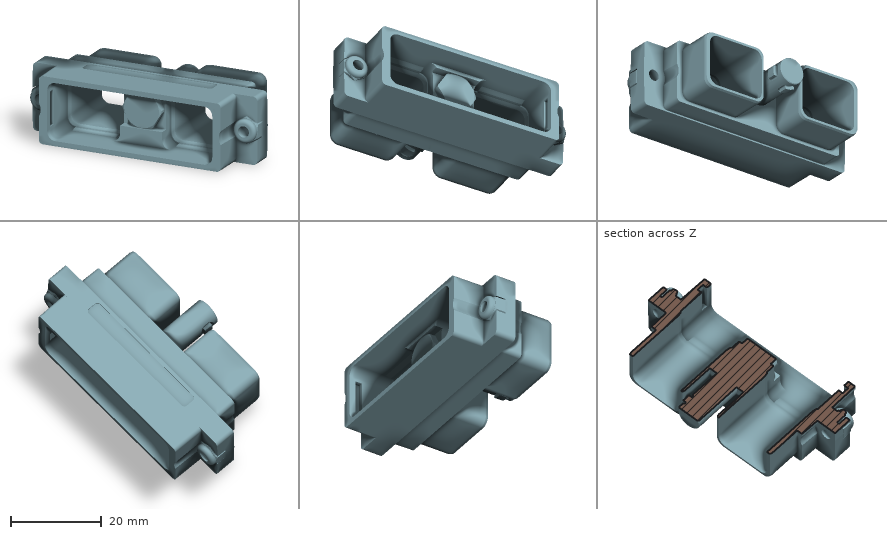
import cadquery as cq
import math

FLANGE_FRONT = 7.7
FLANGE_BACK = 12.7
BODY_BACK = 17.7
BLOCK_BACK = 26.6
TUBE_BACK = 30.35

HEIGHT = 15.95
REAR_HEIGHT = 15.2
BODY_HALF_LENGTH = 22.4
BODY_DRAFT = 0.1
FLANGE_HALF_LENGTH = 27.7
FLANGE_DRAFT = 0.15
CORNER_RADIUS = 1.0

BLOCK_CENTER = 12.95
BLOCK_LENGTH = 16.0
BLOCK_HEIGHT = 13.65
BLOCK_RADIUS = 2.0
BLOCK_CHAMFER_DEPTH = 0.65
BLOCK_CHAMFER_INSET = 0.15
POCKET_CENTER = 12.7
POCKET_LENGTH = 15.1
POCKET_HEIGHT = 13.55
POCKET_RADIUS = 2.0
RIB_START = 8.1
RIB_TOP = 9.45
RIB_HEIGHT = 0.35
RIB_END_GAP = 0.15
THROAT_START = 10.2
THROAT_END = 11.3
STEP_INSETS = (0.2, 0.35)
THROAT_INSETS = (0.45, 0.65)
CAVITY_DEPTH = 5.7

LATCH_FRONT = 1.5
LATCH_WIDTH = 1.7
LATCH_HEIGHT = 8.2
LATCH_DEPTH = 1.15

GUIDE_Z = 1.5
BOLT_FLATS = 8.55
BOLT_TIP_RADIUS = 4.8
BOLT_FACE = 5.95
BOLT_CHAMFER_DEPTH = 0.3
BOLT_SEAT = 7.75
BOLT_SEAT_HEIGHT = 8.8
TUBE_RADIUS = 3.15
TUBE_CHAMFER = 0.15

TAB_ANGLES = (0, 255)
TAB_CENTER_Y = 27.25
TAB_LENGTH = 2.05
TAB_WIDTH = 2.45
TAB_REACH = 3.65
WINDOW_RADIUS = 1.9
WINDOW_FLOOR = 2.65

INSERT_X = 25
INSERT_FLATS = 5.55
INSERT_FACE = 6.05
INSERT_HEX_FRONT = 7.3
INSERT_HEX_CHAMFER = 0.4
INSERT_RADIUS = 2.7
INSERT_ROUNDING = 0.85
INSERT_BACK = 10.05
HOLE_RADIUS = 1.35
SEAT_X = 25.35
SEAT_DIAMETER = 6.5
GROOVE_RADIUS = 3.1

POINTS_SIDEWAYS = 0
POINTS_UP = 30

LABEL_LENGTH = 31.95
LABEL_WIDTH = 3.45
LABEL_Y = 10.15
LABEL_RADIUS = 0.85
LABEL_DEPTH = 0.15


def section(y, x=0.0, z=0.0):
    """Workplane across the Y axis at the given position, its normal pointing to +Y."""
    return cq.Workplane(cq.Plane(origin=(x, y, z), xDir=(1, 0, 0), normal=(0, 1, 0)))


def rounded_box(y0, y1, x, length, height, radius):
    return section(y0, x).rect(length, height).extrude(y1 - y0).edges("|Y").fillet(radius)


def rounded_taper(y0, y1, x, start, end, radius):
    """Loft between two rounded rectangles given as (length, height)."""
    first = cq.Sketch().rect(*start).vertices().fillet(radius)
    last = cq.Sketch().rect(*end).vertices().fillet(radius).moved(cq.Location(cq.Vector(0, 0, y1 - y0)))
    return section(y0, x).placeSketch(first, last).loft()


def hexagon(y0, y1, x, z, diameter, turn):
    """Hexagonal prism along Y; diameter is across the corners."""
    return section(y0, x, z).transformed(rotate=(0, 0, turn)).polygon(6, diameter).extrude(y1 - y0)


def lathe_y(x, z, profile):
    """Body of revolution about an axis along Y, from (radius, y) points."""
    axis_plane = cq.Workplane("XY", origin=(x, 0, z))
    return axis_plane.polyline(profile).close().revolve(360, (0, 0, 0), (0, 1, 0))


def across_corners(flats):
    return flats / math.cos(math.pi / 6)


def drafted_body(y_wide, y_narrow, height):
    wide = BODY_HALF_LENGTH
    narrow = BODY_HALF_LENGTH - BODY_DRAFT
    outline = [(-wide, y_wide), (wide, y_wide), (narrow, y_narrow), (-narrow, y_narrow)]
    prism = cq.Workplane("XY").workplane(offset=-height / 2).polyline(outline).close().extrude(height)
    return prism.edges("(not |X) and (not |Z)").fillet(CORNER_RADIUS)


def flange():
    wide = FLANGE_HALF_LENGTH
    narrow = FLANGE_HALF_LENGTH - FLANGE_DRAFT
    top = HEIGHT / 2
    outline = [(-narrow, top), (narrow, top), (wide, 0), (narrow, -top), (-narrow, -top), (-wide, 0)]
    plate = section(FLANGE_FRONT).polyline(outline).close().extrude(FLANGE_BACK - FLANGE_FRONT)
    corners = plate.edges("|Y").edges("<Z or >Z")
    return corners.fillet(CORNER_RADIUS)


def rear_block(side):
    x = side * BLOCK_CENTER
    chamfer_start = BLOCK_BACK - BLOCK_CHAMFER_DEPTH
    full = (BLOCK_LENGTH, BLOCK_HEIGHT)
    reduced = (BLOCK_LENGTH - 2 * BLOCK_CHAMFER_INSET, BLOCK_HEIGHT - 2 * BLOCK_CHAMFER_INSET)
    block = rounded_box(FLANGE_BACK, chamfer_start, x, *full, BLOCK_RADIUS)
    return block.union(rounded_taper(chamfer_start, BLOCK_BACK, x, full, reduced, BLOCK_RADIUS))


def inset_size(insets):
    inset_x, inset_z = insets
    return POCKET_LENGTH - 2 * inset_x, POCKET_HEIGHT - 2 * inset_z


def lead_in_rib(x, wall):
    """Ramped rib on the pocket floor (wall = -1) or ceiling (wall = 1)."""
    base = wall * POCKET_HEIGHT / 2
    top = base - wall * RIB_HEIGHT
    length = POCKET_LENGTH - 2 * POCKET_RADIUS - 2 * RIB_END_GAP
    profile = [(RIB_START, base), (RIB_TOP, top), (THROAT_START, top), (THROAT_START, base)]
    return cq.Workplane("YZ", origin=(x, 0, 0)).polyline(profile).close().extrude(length / 2, both=True)


def pocket(side):
    """Opening through a rear block: lead-in ribs, a step and a ramp down to the throat."""
    x = side * POCKET_CENTER
    step = inset_size(STEP_INSETS)
    throat = inset_size(THROAT_INSETS)
    entry = rounded_box(0, THROAT_START, x, POCKET_LENGTH, POCKET_HEIGHT, POCKET_RADIUS)
    for wall in (-1, 1):
        entry = entry.cut(lead_in_rib(x, wall))
    ramp = rounded_taper(THROAT_START, THROAT_END, x, step, throat, POCKET_RADIUS)
    return entry.union(ramp).union(rounded_box(THROAT_END, BLOCK_BACK, x, *throat, POCKET_RADIUS))


def guide_bolt():
    """Chamfered hexagon head with its front face towards the mating side."""
    head = hexagon(BOLT_FACE, BOLT_SEAT, 0, GUIDE_Z, across_corners(BOLT_FLATS), POINTS_SIDEWAYS)
    envelope = lathe_y(0, GUIDE_Z, [
        (0, BOLT_FACE),
        (BOLT_FLATS / 2, BOLT_FACE),
        (BOLT_TIP_RADIUS, BOLT_FACE + BOLT_CHAMFER_DEPTH),
        (BOLT_TIP_RADIUS, BOLT_SEAT),
        (0, BOLT_SEAT),
    ])
    return head.intersect(envelope)


def radial_plane(angle):
    """Plane whose normal points out of the tube at the given angle in XZ."""
    turn = math.radians(angle)
    normal = (math.cos(turn), 0, math.sin(turn))
    return cq.Workplane(cq.Plane(origin=(0, TAB_CENTER_Y, GUIDE_Z), xDir=(0, 1, 0), normal=normal))


def guide_tube():
    tube = section(BOLT_SEAT, 0, GUIDE_Z).circle(TUBE_RADIUS).extrude(TUBE_BACK - BOLT_SEAT)
    tube = tube.faces(">Y").chamfer(TUBE_CHAMFER)
    tab_limit = section(FLANGE_BACK, 0, GUIDE_Z).circle(TAB_REACH).extrude(TUBE_BACK - FLANGE_BACK)
    for angle in TAB_ANGLES:
        window = radial_plane(angle).workplane(offset=WINDOW_FLOOR)
        tube = tube.cut(window.circle(WINDOW_RADIUS).extrude(TUBE_RADIUS))
        tab = radial_plane(angle).rect(TAB_LENGTH, TAB_WIDTH).extrude(2 * TAB_REACH)
        tube = tube.union(tab.intersect(tab_limit))
    return tube


def insert(side):
    """Screw insert: chamfered hexagon with a domed round head in front."""
    x = side * INSERT_X
    corner_radius = across_corners(INSERT_FLATS) / 2
    nut = hexagon(INSERT_HEX_FRONT, INSERT_BACK, x, 0, 2 * corner_radius, POINTS_UP)
    nut = nut.intersect(lathe_y(x, 0, [
        (0, INSERT_HEX_FRONT),
        (INSERT_FLATS / 2, INSERT_HEX_FRONT),
        (corner_radius, INSERT_HEX_FRONT + INSERT_HEX_CHAMFER),
        (corner_radius, INSERT_BACK),
        (0, INSERT_BACK),
    ]))
    head = section(INSERT_FACE, x).circle(INSERT_RADIUS).extrude(INSERT_HEX_FRONT - INSERT_FACE)
    return nut.union(head.faces("<Y").edges().fillet(INSERT_ROUNDING))


housing = drafted_body(FLANGE_FRONT, 0, HEIGHT)
housing = housing.union(drafted_body(FLANGE_BACK, BODY_BACK, REAR_HEIGHT))

for side in (-1, 1):
    housing = housing.cut(section(0, side * INSERT_X).circle(GROOVE_RADIUS).extrude(BODY_BACK))

housing = housing.union(flange())
for side in (-1, 1):
    housing = housing.union(rear_block(side))

cavity_length = 2 * POCKET_CENTER + POCKET_LENGTH
housing = housing.cut(rounded_box(0, CAVITY_DEPTH, 0, cavity_length, POCKET_HEIGHT, POCKET_RADIUS))
for side in (-1, 1):
    housing = housing.cut(pocket(side))
bolt_seat = section(CAVITY_DEPTH, 0, GUIDE_Z).rect(2 * POCKET_CENTER, BOLT_SEAT_HEIGHT)
housing = housing.cut(bolt_seat.extrude(BOLT_SEAT - CAVITY_DEPTH))

latch_length = cavity_length + 2 * LATCH_DEPTH
housing = housing.cut(
    section(LATCH_FRONT).rect(latch_length, LATCH_HEIGHT).extrude(LATCH_WIDTH)
)

label = cq.Workplane("XY", origin=(0, LABEL_Y, HEIGHT / 2 - LABEL_DEPTH))
housing = housing.cut(
    label.rect(LABEL_LENGTH, LABEL_WIDTH).extrude(2 * LABEL_DEPTH).edges("|Z").fillet(LABEL_RADIUS)
)

housing = housing.union(guide_bolt()).union(guide_tube())

for side in (-1, 1):
    housing = housing.cut(hexagon(FLANGE_FRONT, INSERT_BACK, side * SEAT_X, 0, SEAT_DIAMETER, POINTS_UP))
    housing = housing.union(insert(side))
    housing = housing.cut(section(0, side * INSERT_X).circle(HOLE_RADIUS).extrude(FLANGE_BACK))

result = housing